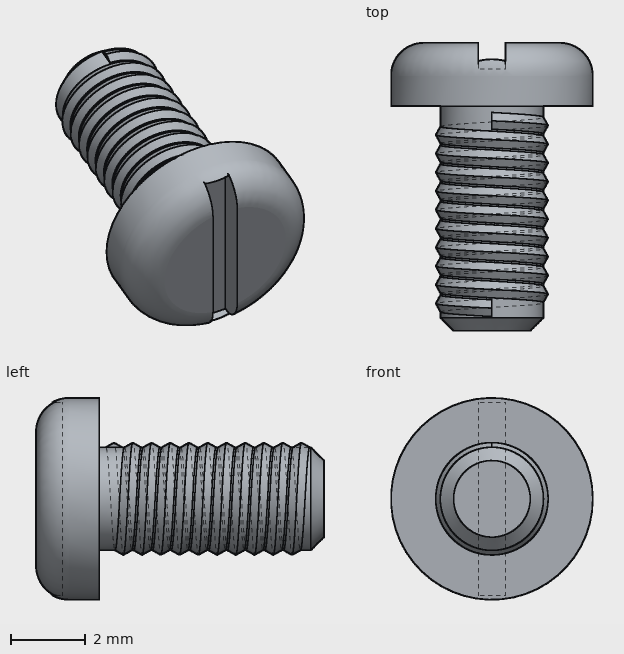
import cadquery as cq

overall_length = 7.7
head_radius = 2.699
head_height = 1.695
head_rounding = 0.885

slot_width = 0.72
slot_length = 5.16
slot_depth = 0.7

shank_radius = 1.38
shank_length = overall_length - head_height
tip_chamfer = 0.355

thread_radius = 1.5
thread_pitch = 0.5
thread_turns = 10
thread_base_width = 0.45
thread_first_crest = 0.39
root_overlap = 0.01


def make_head():
    head = cq.Workplane("XY").circle(head_radius).extrude(head_height)
    head = head.faces(">Z").edges().fillet(head_rounding)
    slot = cq.Workplane("XY").workplane(offset=head_height - slot_depth)
    slot = slot.rect(slot_width, slot_length).extrude(slot_depth)
    return head.cut(slot)


def make_shank():
    shank = cq.Workplane("XY").circle(shank_radius).extrude(-shank_length)
    return shank.faces("<Z").edges().chamfer(tip_chamfer)


def make_thread():
    height = thread_turns * thread_pitch
    sunk_radius = shank_radius - root_overlap
    flank_slope = thread_base_width / 2 / (thread_radius - shank_radius)
    half_root = flank_slope * (thread_radius - sunk_radius)
    path = cq.Wire.makeHelix(thread_pitch, height, shank_radius, lefthand=True)
    ridge = (
        cq.Workplane("XZ")
        .moveTo(sunk_radius, -half_root)
        .lineTo(thread_radius, 0)
        .lineTo(sunk_radius, half_root)
        .close()
        .sweep(cq.Workplane(obj=path), isFrenet=True)
    )
    ridge = ridge.rotate((0, 0, 0), (0, 0, 1), -90)
    return ridge.translate((0, 0, -thread_first_crest - height))


screw = make_shank().union(make_thread()).union(make_head())
result = screw.rotate((0, 0, 0), (1, 0, 0), -90)